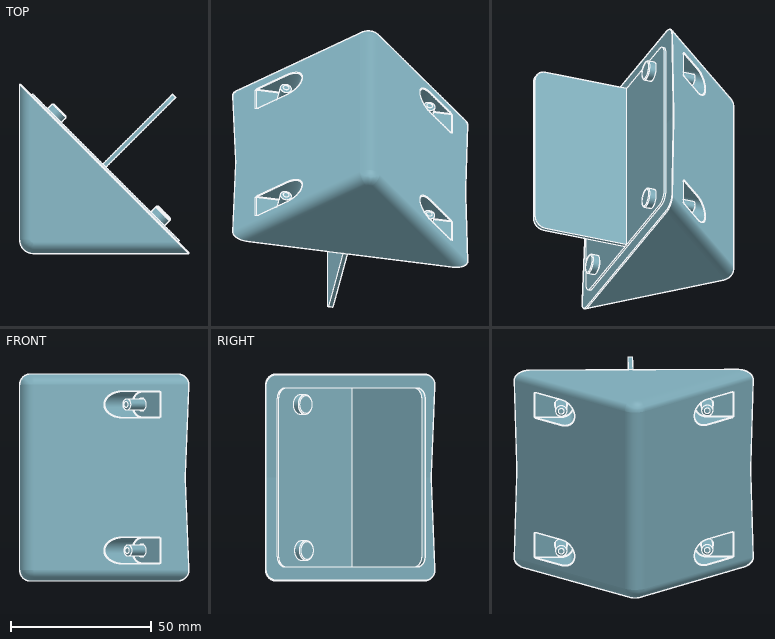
import cadquery as cq
import math

height = 74.0
leg_length = 60.9
valley_depth = 1.0
upright_round = 5.0
end_round = 4.0
rim_chamfer = 0.4

screw_spacing = 52.1
screw_diameter = 4.0
screw_length = 16.0
head_diameter = 7.0
head_height = 2.8
head_bevel = 0.4
tip_flat_diameter = 2.1
tip_length = 0.45
loose_gap = 0.6

pocket_width = 9.25
pocket_chamfer = 0.2
floor_distance = 35.6
screw_hole_diameter = 4.6

plate_length = 74.0
plate_height = 63.9
plate_corner_round = 4.0
plate_projection = 0.6

fin_thickness = 1.6
fin_height = plate_height
fin_end_distance = 78.9
fin_corner_round = 4.0

half_height = height / 2
end_distance = leg_length / math.sqrt(2)
valley_distance = end_distance - valley_depth
plate_inner = valley_distance + valley_depth * plate_height / height
plate_outer = end_distance + plate_projection

same_place = 0.01

half_spacing = screw_spacing / 2
screw_positions = [
    (along, up) for along in (-half_spacing, half_spacing) for up in (-half_spacing, half_spacing)
]


def facing_out(distance):
    """Workplane parallel to the sloping face: x runs toward +Y, y is up, normal points out."""
    plane = cq.Plane(origin=(0, 0, 0), xDir=(-1, 1, 0), normal=(1, 1, 0))
    return cq.Workplane(plane).workplane(offset=distance)


def make_wedge():
    prism = (
        cq.Workplane("XY")
        .workplane(offset=-half_height)
        .polyline([(0, 0), (leg_length, 0), (0, leg_length)])
        .close()
        .extrude(height)
    )
    upright_edge = cq.selectors.NearestToPointSelector((0, 0, 0))
    prism = prism.edges(upright_edge).fillet(upright_round)

    prism = prism.edges("|X").fillet(end_round)

    diagonal_plane = cq.Plane(origin=(0, 0, 0), xDir=(1, 1, 0), normal=(1, -1, 0))
    valley = (
        cq.Workplane(diagonal_plane)
        .polyline([(end_distance, -half_height), (valley_distance, 0), (end_distance, half_height)])
        .close()
        .extrude(leg_length, both=True)
    )
    wedge = prism.cut(valley)

    sloping_faces = wedge.faces(">(1,1,0)")
    rim = sloping_faces.edges().filter(lambda edge: abs(edge.Center().z) > rim_chamfer)
    return rim.chamfer(rim_chamfer)


def make_pocket(along, up):
    """Tool for one pocket: runs inward from the floor, open towards the tip of the leg."""
    tip_offset = math.copysign(leg_length / 2, along)
    floor = facing_out(floor_distance).center(along, up)
    round_side = floor.circle(pocket_width / 2).extrude(-floor_distance)
    open_side = floor.center(tip_offset, 0).rect(leg_length, pocket_width).extrude(-floor_distance)
    return round_side.union(open_side)


def cut_pocket(housing, along, up):
    """Cut one pocket and chamfer the edges of its mouth and floor."""
    centres_before = [edge.Center() for edge in housing.edges().vals()]
    pocketed = housing.cut(make_pocket(along, up))

    def is_new(edge):
        return all((edge.Center() - centre).Length > same_place for centre in centres_before)

    wall_blends = cq.selectors.ParallelDirSelector(cq.Vector(1, 1, 0))
    mouth_and_floor = pocketed.edges(cq.selectors.InverseSelector(wall_blends)).filter(is_new)
    return mouth_and_floor.chamfer(pocket_chamfer)


def screw_holes():
    return facing_out(0).pushPoints(screw_positions).circle(screw_hole_diameter / 2).extrude(plate_outer)


def make_housing():
    housing = make_wedge()
    for along, up in screw_positions:
        housing = cut_pocket(housing, along, up)
    return housing.cut(screw_holes())


def make_screw(along, up, lift):
    seat = facing_out(plate_outer + lift).center(along, up)
    head = seat.circle(head_diameter / 2).extrude(head_height).faces(">(1,1,0)").chamfer(head_bevel)
    tip_inset = (screw_diameter - tip_flat_diameter) / 2
    shank = seat.circle(screw_diameter / 2).extrude(-screw_length)
    shank = shank.faces("<(1,1,0)").chamfer(tip_length, tip_inset)
    return head.union(shank)


def make_plate():
    plate = facing_out(plate_inner).rect(plate_length, plate_height).extrude(plate_outer - plate_inner)
    plate = plate.edges("|(1,1,0)").fillet(plate_corner_round)
    return plate.cut(screw_holes())


def make_fin():
    fin = (
        facing_out(plate_outer)
        .center(fin_thickness / 2, 0)
        .rect(fin_thickness, fin_height)
        .extrude(fin_end_distance - plate_outer)
    )
    return fin.faces(">(1,1,0)").edges("|(1,-1,0)").fillet(fin_corner_round)


housing = make_housing()
screws = []
for along, up in screw_positions:
    is_loose = along < 0 and up < 0
    screws.append(make_screw(along, up, loose_gap if is_loose else 0))
plate = make_plate()
fin = make_fin()

result = cq.Compound.makeCompound([housing.val(), *[screw.val() for screw in screws], plate.val(), fin.val()])